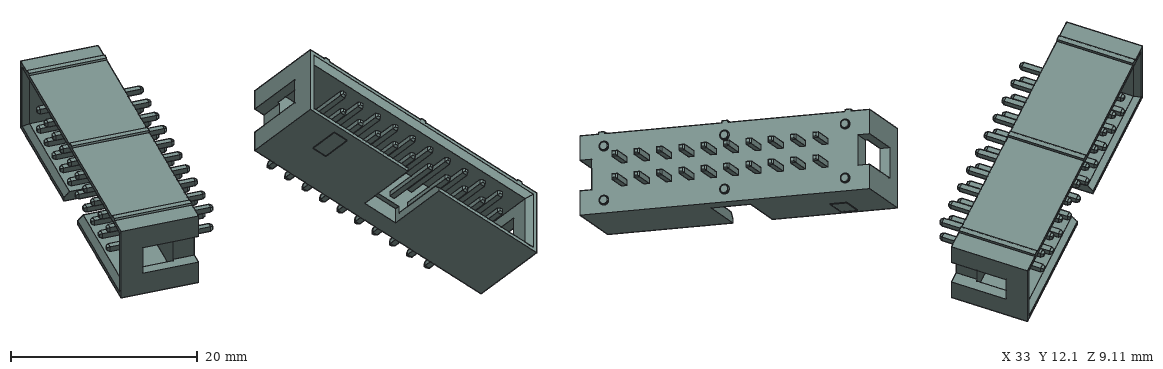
import cadquery as cq
import math

body_length = 33.02
body_depth = 8.78
body_height = 8.78
mid_x = body_length / 2
mid_z = body_height / 2

wall = 1.12
rim = 0.5
mouth_bevel = wall - rim
cavity_depth = 6.35

key_width = 4.5
key_height = 2.08
key_depth = 6.85

slot_height = 3.37
slot_inset = 1.35
slot_start = 2.48

pin_columns = 10
pin_rows = 2
pin_pitch = 2.55
pin_size = 0.63
pin_front = 0.1
pin_tail = 3.3
pin_tip_length = 0.3
pin_tip_inset = 0.13

rib_width = 0.73
rib_crest = 0.6
rib_height = 0.23
rib_spacing = 14.05

foot_diameter = 1.05
foot_bevel = 0.1
foot_height = 0.23
foot_columns = 3
foot_rows = 2
foot_spacing_x = 13.75
foot_spacing_z = 5.98

mark_width = 1.88
mark_length = 3.37
mark_height = 0.1
mark_start = 0.85
mark_x = 5.22


def box(x_size, y_size, z_size, x_mid, y_start, z_start):
    """Box centred on x_mid, growing from y_start and z_start."""
    block = cq.Workplane("XY").box(x_size, y_size, z_size, centered=(True, False, False))
    return block.translate((x_mid, y_start, z_start))


def front_facing(y):
    """Workplane centred on the housing whose extrusions grow towards -Y."""
    return cq.Workplane("XZ", origin=(mid_x, y, mid_z))


def back_facing(y):
    """Workplane centred on the housing whose extrusions grow towards +Y."""
    return cq.Workplane(cq.Plane((mid_x, y, mid_z), xDir=(1, 0, 0), normal=(0, 1, 0)))


def housing():
    shell = box(body_length, body_depth, body_height, mid_x, 0, 0)
    cavity = back_facing(0).rect(body_length - 2 * wall, body_height - 2 * wall).extrude(cavity_depth)
    mouth = (
        back_facing(0)
        .rect(body_length - 2 * rim, body_height - 2 * rim)
        .workplane(offset=mouth_bevel)
        .rect(body_length - 2 * wall, body_height - 2 * wall)
        .loft(ruled=True)
    )
    key = box(key_width, key_depth, key_height, mid_x, 0, 0)
    shell = shell.cut(cavity).cut(mouth).cut(key)
    slot_length = body_depth - slot_start
    slot_bottom = mid_z - slot_height / 2
    for slot_x in (slot_inset / 2, body_length - slot_inset / 2):
        shell = shell.cut(box(slot_inset, slot_length, slot_height, slot_x, slot_start, slot_bottom))
    return shell


def pins():
    taper = math.degrees(math.atan2(pin_tip_inset, pin_tip_length))
    shaft_start = pin_front + pin_tip_length
    shaft_end = body_depth + pin_tail - pin_tip_length

    def pin_grid(workplane):
        return workplane.rarray(pin_pitch, pin_pitch, pin_columns, pin_rows).rect(pin_size, pin_size)

    shafts = pin_grid(back_facing(shaft_start)).extrude(shaft_end - shaft_start)
    tail_tips = pin_grid(back_facing(shaft_end)).extrude(pin_tip_length, taper=taper)
    front_tips = pin_grid(front_facing(shaft_start)).extrude(pin_tip_length, taper=taper)
    return shafts.union(tail_tips).union(front_tips)


def ribs():
    profile = [
        (-rib_width / 2, body_height),
        (-rib_crest / 2, body_height + rib_height),
        (rib_crest / 2, body_height + rib_height),
        (rib_width / 2, body_height),
    ]
    rib = cq.Workplane("XZ").polyline(profile).close().extrude(-body_depth)
    row = cq.Workplane("XY")
    for offset in (-rib_spacing, 0, rib_spacing):
        row = row.add(rib.translate((mid_x + offset, 0, 0)))
    return row.combine()


def feet():
    return (
        back_facing(body_depth)
        .rarray(foot_spacing_x, foot_spacing_z, foot_columns, foot_rows)
        .circle(foot_diameter / 2)
        .extrude(foot_height)
        .faces(">Y")
        .chamfer(foot_bevel)
    )


def first_pin_mark():
    return box(mark_width, mark_length, mark_height, mark_x, mark_start, -mark_height)


result = housing().union(pins()).union(ribs()).union(feet()).union(first_pin_mark())